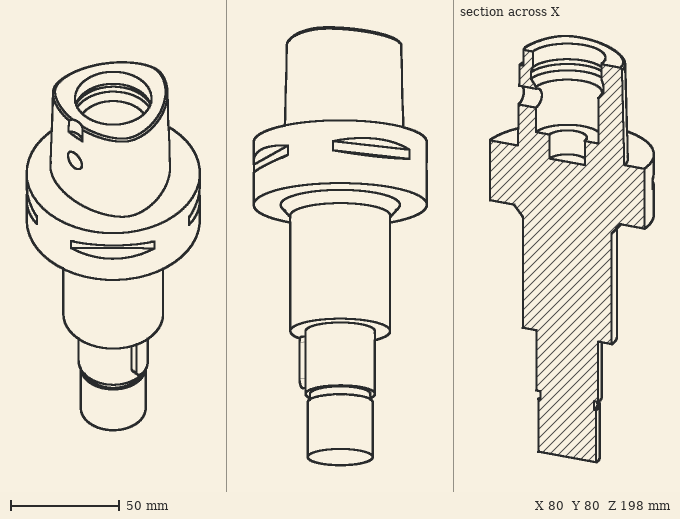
import cadquery as cq
import math

taper_length = 48.0
flange_diameter = 80.0
flange_bottom = -29.9
cone_bottom = -35.0
body_bottom = -90.0
shank_bottom = -120.0
groove_bottom = -124.0
overall_length = 198
tip_bottom = taper_length - overall_length

cone_top_diameter = 55.0
body_diameter = 46.1
shank_diameter = 32.0
groove_diameter = 28.0
tip_diameter = 30.0

polygon_width = 55.2
lobe_height = 2.0
taper_per_length = 1 / 20
taper_edge_chamfer = 1.0
points_per_outline = 72

mouth_diameter = 35.2
mouth_depth = 7.7
undercut_diameter = 37.2
undercut_start = 10.5
undercut_end = 13.7
bore_diameter = 32.0
bore_start = 17.2
bore_depth = 39.6
centre_hole_diameter = 18.0
centre_hole_depth = 51.5

notch_radius = 7.0
notch_floor = 22.5
notch_depth = 8.0
side_hole_diameter = 9.1
side_hole_depth_from_end = 23.0

gripper_count = 4
gripper_height = -12.0
gripper_floor_radius = 35.0
gripper_floor_width = 4.4
gripper_mouth_width = 8.5

key_width = 7.1
key_gap_below_body = 1.0
key_length = 24.4
key_reach = 18.8


def lobed_outline(width):
    """Closed constant-width curve with three lobes, one of them pointing to +Y."""
    points = []
    for index in range(points_per_outline):
        turn = 2 * math.pi * index / points_per_outline
        support = width / 2 + lobe_height * math.cos(3 * turn)
        slope = -3 * lobe_height * math.sin(3 * turn)
        outward = support * math.cos(turn) - slope * math.sin(turn)
        sideways = support * math.sin(turn) + slope * math.cos(turn)
        points.append(cq.Vector(-sideways, outward, 0))
    return cq.Wire.assembleEdges([cq.Edge.makeSpline(points, periodic=True)])


def lobed_frustum(bottom, top, bottom_width, top_width):
    lower = lobed_outline(bottom_width).translate(cq.Vector(0, 0, bottom))
    upper = lobed_outline(top_width).translate(cq.Vector(0, 0, top))
    return cq.Workplane(obj=cq.Solid.makeLoft([lower, upper], True))


def cylinder(diameter, top, bottom):
    return cq.Workplane(origin=(0, 0, bottom)).circle(diameter / 2).extrude(top - bottom)


def revolved(profile):
    """Solid of revolution about Z from (radius, height) points."""
    return cq.Workplane("XZ").polyline(profile).close().revolve(360, (0, 0), (0, 1))


def make_holder():
    profile = [
        (0, 0),
        (flange_diameter / 2, 0),
        (flange_diameter / 2, flange_bottom),
        (cone_top_diameter / 2, flange_bottom),
        (body_diameter / 2, cone_bottom),
        (body_diameter / 2, body_bottom),
        (shank_diameter / 2, body_bottom),
        (shank_diameter / 2, shank_bottom),
        (groove_diameter / 2, shank_bottom),
        (groove_diameter / 2, groove_bottom),
        (tip_diameter / 2, groove_bottom),
        (tip_diameter / 2, tip_bottom),
        (0, tip_bottom),
    ]
    return revolved(profile)


def make_taper():
    chamfer_start = taper_length - taper_edge_chamfer
    chamfer_width = polygon_width - taper_per_length * chamfer_start
    end_width = chamfer_width - 2 * taper_edge_chamfer
    main = lobed_frustum(0, chamfer_start, polygon_width, chamfer_width)
    edge = lobed_frustum(chamfer_start, taper_length, chamfer_width, end_width)
    return main.union(edge)


def make_bore():
    steps = [
        (0, 0),
        (mouth_diameter / 2, 0),
        (mouth_diameter / 2, mouth_depth),
        (undercut_diameter / 2, undercut_start),
        (undercut_diameter / 2, undercut_end),
        (bore_diameter / 2, bore_start),
        (bore_diameter / 2, bore_depth),
        (centre_hole_diameter / 2, bore_depth),
        (centre_hole_diameter / 2, centre_hole_depth),
        (0, centre_hole_depth),
    ]
    return revolved([(radius, taper_length - depth) for radius, depth in steps])


def make_notch():
    notch = cylinder(2 * notch_radius, taper_length, taper_length - notch_depth)
    return notch.translate((0, -notch_floor - notch_radius, 0))


def make_side_hole():
    """Radial hole from the axis out through the -Y side of the taper."""
    start = cq.Workplane("XZ", origin=(0, 0, taper_length - side_hole_depth_from_end))
    return start.circle(side_hole_diameter / 2).extrude(polygon_width / 2)


def make_gripper_groove(angle):
    """Straight groove with sloping sides, cut across the flange rim at the given angle."""
    rim_radius = flange_diameter / 2
    half_floor = gripper_floor_width / 2
    half_mouth = gripper_mouth_width / 2
    section = [
        (gripper_floor_radius, gripper_height - half_floor),
        (rim_radius, gripper_height - half_mouth),
        (rim_radius, gripper_height + half_mouth),
        (gripper_floor_radius, gripper_height + half_floor),
    ]
    groove = cq.Workplane("XZ").polyline(section).close().extrude(rim_radius, both=True)
    return groove.rotate((0, 0, 0), (0, 0, 1), angle)


def make_key():
    """Round-ended key starting inside the shank."""
    centre_height = body_bottom - key_gap_below_body - key_length / 2
    return cq.Workplane("YZ", origin=(0, 0, centre_height)).slot2D(key_length, key_width, 90).extrude(key_reach)


result = make_holder().union(make_taper()).union(make_key())
result = result.cut(make_bore()).cut(make_notch()).cut(make_side_hole())
for index in range(gripper_count):
    result = result.cut(make_gripper_groove((index + 0.5) * 360 / gripper_count))